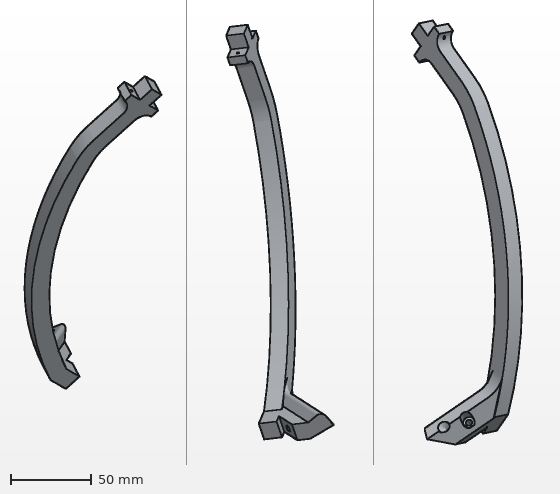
import cadquery as cq
import math

TILT = 40.0

BAR_WIDTH = 12.0
BAR_THICKNESS = 12.0
OUTER_RADIUS = 242.0
INNER_RADIUS = OUTER_RADIUS - BAR_THICKNESS
NECK_BEND_RADIUS = 50.0
NECK_OUTER_Z = 229.4
NECK_MID_Z = NECK_OUTER_Z - BAR_THICKNESS / 2

TIP_Y = -19.27
TIP_LENGTH = 10.4
TIP_WIDTH = 10.0
CROSSBAR_LENGTH = 27.8
CROSSBAR_THICKNESS = 6.0
CROSSBAR_TOP_Y = TIP_Y - TIP_LENGTH
CROSSBAR_BOTTOM_Y = CROSSBAR_TOP_Y - CROSSBAR_THICKNESS
PIN_HOLE_DIAMETER = 1.5
PIN_HOLE_OFFSET = 10.0

LEG_OUTER_Y = -225.4
LEG_INNER_Y = LEG_OUTER_Y + BAR_THICKNESS
LEG_END_Z = 72.2

SIDE_X = -BAR_WIDTH / 2
ARM_END_Z = 66.5
ARM_WEB = 6.0
ARM_RISE = 38.7
ARM_FRONT_X = -26.3
LIP_Y = 8.1
CREST_Y = 19.0
CREST_SETBACK = 4.85
RIDGE_X = -28.7
CREST_FILLET = 2.5
ARM_ROOT_FILLET = 20.0

HOLE_DIAMETER = 7.5
SCREW_DIAMETER = 4.0
SCREW_ALONG = 14.7
SCREW_HEIGHT = 5.5
SCREW_FLOOR = 3.5
POCKET_ALONG = 0.0
POCKET_HEIGHT = 8.9
POCKET_FLOOR = 11.5


def make_bar():
    """The leg, arc, neck bend and straight neck, extruded across the bar width."""
    bend_z = NECK_OUTER_Z - NECK_BEND_RADIUS
    bend_y = -math.sqrt((OUTER_RADIUS - NECK_BEND_RADIUS) ** 2 - bend_z**2)
    bend_start = math.atan2(bend_z, bend_y)

    def on_arc(radius, angle):
        return (radius * math.cos(angle), radius * math.sin(angle))

    def on_bend(radius, angle):
        return (bend_y + radius * math.cos(angle), bend_z + radius * math.sin(angle))

    outer_foot = math.pi - math.acos(-LEG_OUTER_Y / OUTER_RADIUS)
    inner_foot = math.pi - math.acos(-LEG_INNER_Y / INNER_RADIUS)
    bend_mid = (bend_start + math.pi / 2) / 2
    inner_bend = NECK_BEND_RADIUS - BAR_THICKNESS
    return (
        cq.Workplane("YZ", origin=(SIDE_X, 0, 0))
        .moveTo(LEG_OUTER_Y, LEG_END_Z)
        .lineTo(*on_arc(OUTER_RADIUS, outer_foot))
        .threePointArc(
            on_arc(OUTER_RADIUS, (outer_foot + bend_start) / 2),
            on_arc(OUTER_RADIUS, bend_start),
        )
        .threePointArc(on_bend(NECK_BEND_RADIUS, bend_mid), (bend_y, NECK_OUTER_Z))
        .lineTo(CROSSBAR_TOP_Y, NECK_OUTER_Z)
        .lineTo(CROSSBAR_TOP_Y, NECK_OUTER_Z - BAR_THICKNESS)
        .lineTo(bend_y, NECK_OUTER_Z - BAR_THICKNESS)
        .threePointArc(on_bend(inner_bend, bend_mid), on_arc(INNER_RADIUS, bend_start))
        .threePointArc(
            on_arc(INNER_RADIUS, (inner_foot + bend_start) / 2),
            on_arc(INNER_RADIUS, inner_foot),
        )
        .lineTo(LEG_INNER_Y, LEG_END_Z)
        .close()
        .extrude(BAR_WIDTH)
    )


def add_head(body):
    """Crossbar flaring out of the neck, the square tip beyond it and a pin hole on each side."""
    half_bar = CROSSBAR_LENGTH / 2
    half_neck = BAR_THICKNESS / 2
    flare_radius = half_bar - half_neck
    flare_end_y = CROSSBAR_BOTTOM_Y - flare_radius
    bulge = flare_radius * (1 - math.sqrt(0.5))
    head = (
        cq.Workplane("YZ", origin=(SIDE_X, 0, NECK_MID_Z))
        .moveTo(flare_end_y, half_neck)
        .threePointArc(
            (CROSSBAR_BOTTOM_Y - bulge, half_neck + bulge),
            (CROSSBAR_BOTTOM_Y, half_bar),
        )
        .lineTo(CROSSBAR_TOP_Y, half_bar)
        .lineTo(CROSSBAR_TOP_Y, TIP_WIDTH / 2)
        .lineTo(TIP_Y, TIP_WIDTH / 2)
        .lineTo(TIP_Y, -TIP_WIDTH / 2)
        .lineTo(CROSSBAR_TOP_Y, -TIP_WIDTH / 2)
        .lineTo(CROSSBAR_TOP_Y, -half_bar)
        .lineTo(CROSSBAR_BOTTOM_Y, -half_bar)
        .threePointArc(
            (CROSSBAR_BOTTOM_Y - bulge, -half_neck - bulge),
            (flare_end_y, -half_neck),
        )
        .close()
        .extrude(BAR_WIDTH)
    )
    body = body.union(head)
    for side in (-1, 1):
        pin_hole = (
            cq.Workplane("XZ", origin=(0, CROSSBAR_TOP_Y, NECK_MID_Z + side * PIN_HOLE_OFFSET))
            .circle(PIN_HOLE_DIAMETER / 2)
            .extrude(CROSSBAR_THICKNESS + flare_radius)
        )
        body = body.cut(pin_hole)
    return body


def make_arm():
    """The side arm: one section swept at 45 degrees up to the side of the bar."""
    lip_x = SIDE_X - ARM_RISE
    crest_x = lip_x + CREST_SETBACK
    back_x = ARM_FRONT_X + ARM_WEB * math.sqrt(2)
    section = [
        (ARM_FRONT_X, 0),
        (back_x, 0),
        (back_x, BAR_THICKNESS),
        (RIDGE_X, BAR_THICKNESS),
        (crest_x, CREST_Y),
        (lip_x, LIP_Y),
    ]
    run = 2 * ARM_RISE
    wire = cq.Wire.makePolygon(
        [cq.Vector(x, LEG_OUTER_Y + y, ARM_END_Z) for x, y in section], close=True
    )
    prism = cq.Workplane(cq.Solid.extrudeLinear(wire, [], cq.Vector(run, 0, run)))
    crest = (crest_x + ARM_RISE / 3, LEG_OUTER_Y + CREST_Y, ARM_END_Z + ARM_RISE / 3)

    size = 4 * ARM_RISE
    side_block = (
        cq.Workplane("XY")
        .box(size, size, size)
        .translate((SIDE_X + size / 2, LEG_OUTER_Y, ARM_END_Z + ARM_RISE))
    )
    root = (SIDE_X, LEG_OUTER_Y + (LIP_Y + CREST_Y) / 2, ARM_END_Z + ARM_RISE - CREST_SETBACK / 2)
    blended = side_block.union(prism)
    blended = blended.edges(cq.selectors.NearestToPointSelector(root)).fillet(ARM_ROOT_FILLET)
    blended = blended.edges(cq.selectors.NearestToPointSelector(crest)).fillet(CREST_FILLET)
    within_arc = cq.Workplane("YZ").circle(OUTER_RADIUS).extrude(-size)
    return blended.cut(side_block).intersect(within_arc)


def drill_arm(body):
    """A counterbored screw hole through the arm and a blind hole with a conical bottom near its end."""
    across = cq.Vector(1, 0, -1).normalized()
    along = cq.Vector(1, 0, 1).normalized()
    start = cq.Vector(ARM_FRONT_X, LEG_OUTER_Y, ARM_END_Z)

    def cutter(radius, distance, height, depth_from, depth_to, end_radius=None):
        base = start + along * distance + cq.Vector(0, height, 0) + across * depth_from
        length = depth_to - depth_from
        if end_radius is None:
            return cq.Solid.makeCylinder(radius, length, base, across)
        return cq.Solid.makeCone(radius, end_radius, length, base, across)

    head_radius = HOLE_DIAMETER / 2
    screw = (SCREW_ALONG, SCREW_HEIGHT)
    pocket = (POCKET_ALONG, POCKET_HEIGHT)
    body = body.cut(cutter(SCREW_DIAMETER / 2, *screw, -ARM_RISE, ARM_RISE))
    body = body.cut(cutter(head_radius, *screw, -ARM_RISE, -SCREW_FLOOR))
    body = body.cut(cutter(head_radius, *pocket, -ARM_RISE, -POCKET_FLOOR))
    return body.cut(cutter(head_radius, *pocket, -POCKET_FLOOR, head_radius - POCKET_FLOOR, 0))


body = add_head(make_bar())
body = body.union(make_arm())
body = drill_arm(body)
result = body.rotate((0, 0, 0), (1, 0, 0), TILT)